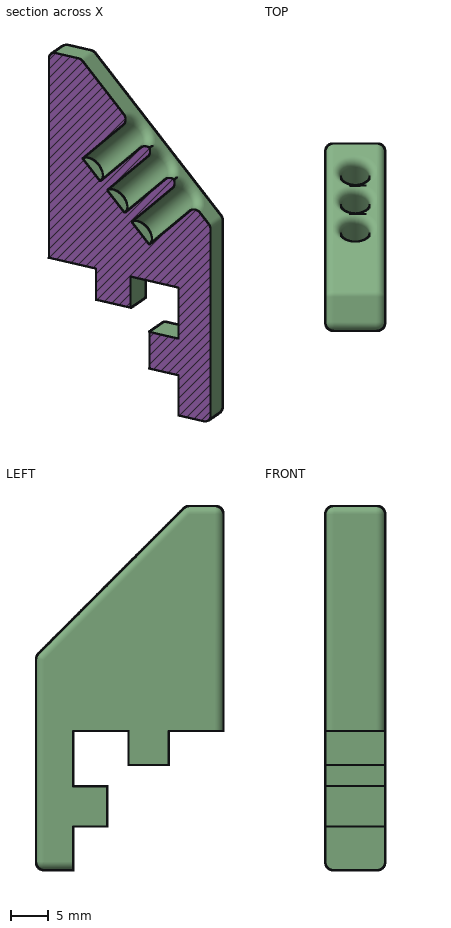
import cadquery as cq
import math

width = 8.0
depth = 25.0
height = 48.5

top_depth = 5.0
slope_angle = 45.0
ledge_height = 18.55
leg_thickness = 5.0
edge_radius = 1.1

tab_width = 5.4
tab_length = 4.5
tab_offset = 7.3

hole_diameter = 3.8
hole_depth = 10.0
hole_lip_radius = 1.1
hole_pitch = 5.35
hole_count = 3
middle_hole_y = 17.45

slope_radians = math.radians(slope_angle)
slope_run = depth - top_depth
shoulder_height = height - slope_run * math.tan(slope_radians)
leg_inner_y = depth - leg_thickness


def side_prism(points):
    """Extrude a closed (Y, Z) outline over the full width, centred on X = 0."""
    return cq.Workplane("YZ").polyline(points).close().extrude(width / 2, both=True)


def rounded_block():
    """Block with a sloping back face and every edge rounded."""
    outline = [
        (0, 0),
        (depth, 0),
        (depth, shoulder_height),
        (top_depth, height),
        (0, height),
    ]
    return side_prism(outline).edges().fillet(edge_radius)


def corner_notch():
    """Space below the ledge and in front of the leg, leaving the two tabs standing."""
    leg_tab_top = ledge_height - tab_offset
    leg_tab_bottom = leg_tab_top - tab_width
    leg_tab_end = leg_inner_y - tab_length
    ledge_tab_back = leg_inner_y - tab_offset
    ledge_tab_front = ledge_tab_back - tab_width
    ledge_tab_end = ledge_height - tab_length
    outline = [
        (0, 0),
        (leg_inner_y, 0),
        (leg_inner_y, leg_tab_bottom),
        (leg_tab_end, leg_tab_bottom),
        (leg_tab_end, leg_tab_top),
        (leg_inner_y, leg_tab_top),
        (leg_inner_y, ledge_height),
        (ledge_tab_back, ledge_height),
        (ledge_tab_back, ledge_tab_end),
        (ledge_tab_front, ledge_tab_end),
        (ledge_tab_front, ledge_height),
        (0, ledge_height),
    ]
    return side_prism(outline)


def lipped_hole():
    """Hole around the Z axis, going down from Z = 0, with a rounded lip at its mouth."""
    radius = hole_diameter / 2
    mouth_radius = radius + hole_lip_radius
    lip_mid_offset = hole_lip_radius * math.sqrt(0.5)
    lip_midpoint = (mouth_radius - lip_mid_offset, lip_mid_offset - hole_lip_radius)
    profile = (
        cq.Workplane("XZ")
        .moveTo(0, 0)
        .lineTo(mouth_radius, 0)
        .threePointArc(lip_midpoint, (radius, -hole_lip_radius))
        .lineTo(radius, -hole_depth)
        .lineTo(0, -hole_depth)
        .close()
    )
    return profile.revolve(360, (0, 0, 0), (0, 1, 0))


def slope_point(y):
    """Point on the sloping face at the given Y, in the middle of the width."""
    return (0, y, height - (y - top_depth) * math.tan(slope_radians))


body = rounded_block().cut(corner_notch())

tilted_hole = lipped_hole().rotate((0, 0, 0), (1, 0, 0), -slope_angle)
hole_step_y = hole_pitch * math.cos(slope_radians)
for index in range(hole_count):
    hole_y = middle_hole_y + (index - (hole_count - 1) / 2) * hole_step_y
    body = body.cut(tilted_hole.translate(slope_point(hole_y)))

result = body